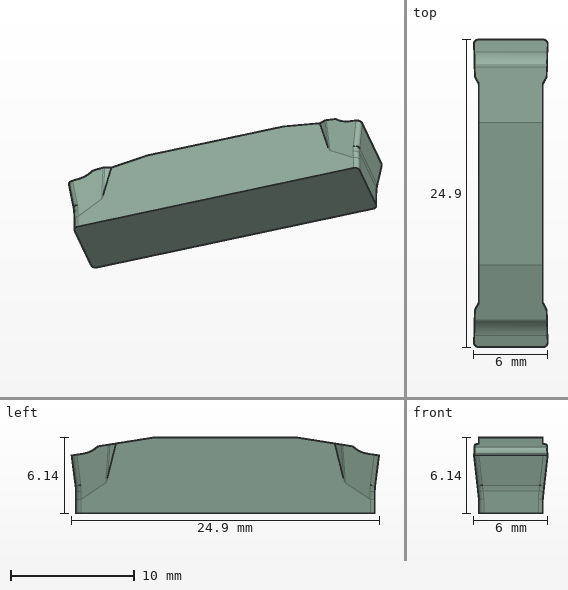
import cadquery as cq
import math

LENGTH = 24.89
HEIGHT = 6.14
BODY_WIDTH = 5.2
HEAD_WIDTH = 6.0
CORNER_RADIUS = 0.4
HALF_LENGTH = LENGTH / 2
HALF_BODY = BODY_WIDTH / 2
HALF_HEAD = HEAD_WIDTH / 2

FLANK_ANGLE = math.radians(7.4)
EDGE_HEIGHT = 4.68
FLANK_BOTTOM = 2.26
VERTICAL_TOP = 1.82
FLANK_TAN = math.tan(FLANK_ANGLE)
FLANK_SETBACK = (EDGE_HEIGHT - FLANK_BOTTOM) * FLANK_TAN
BLEND_SETBACK = (FLANK_BOTTOM - VERTICAL_TOP) * math.tan(FLANK_ANGLE / 2)
END_SETBACK = FLANK_SETBACK + BLEND_SETBACK

RAKE_DEPTH = 0.98
RAKE_TAN = math.tan(math.radians(9.0))
BREAKER_DEPTH = 2.04
BREAKER_HEIGHT = 5.34
RAMP_START = 2.20
RAMP_END = 6.68
RAMP_TAN = math.tan(math.radians(9.0))
RAMP_START_HEIGHT = HEIGHT - (RAMP_END - RAMP_START) * RAMP_TAN

SIDE_DROP_TAN = math.tan(math.radians(5.95))
SIDE_BACK_TAN = math.tan(math.radians(4.0))
WIDEST_DEPTH = CORNER_RADIUS
WIDEST_HEIGHT = EDGE_HEIGHT + WIDEST_DEPTH * RAKE_TAN

REAR_TAN = math.tan(math.radians(29.0))
REAR_LEAN_TAN = math.tan(math.radians(14.0))
REAR_DEPTH = 3.60
REAR_HEIGHT = RAMP_START_HEIGHT + (REAR_DEPTH - RAMP_START) * RAMP_TAN
REAR_EDGE_RADIUS = 0.3
SELECTION_MARGIN = 0.05
HEAD_TIP_HALF_WIDTH = 1.0


def end_point(depth, height):
    """Point in the YZ plane, depth measured inward from the -Y cutting edge."""
    return (depth - HALF_LENGTH, height)


def profile_prism():
    """Side profile of the -Y half, extruded wider than the head."""
    half_profile = (
        cq.Workplane("YZ")
        .moveTo(*end_point(RAMP_START, RAMP_START_HEIGHT))
        .lineTo(*end_point(RAMP_END, HEIGHT))
        .lineTo(0, HEIGHT)
        .lineTo(0, 0)
        .lineTo(*end_point(END_SETBACK, 0))
        .lineTo(*end_point(END_SETBACK, VERTICAL_TOP))
        .tangentArcPoint(end_point(FLANK_SETBACK, FLANK_BOTTOM), relative=False)
        .lineTo(*end_point(0, EDGE_HEIGHT))
        .lineTo(*end_point(RAKE_DEPTH, EDGE_HEIGHT + RAKE_DEPTH * RAKE_TAN))
        .tangentArcPoint(end_point(BREAKER_DEPTH, BREAKER_HEIGHT), relative=False)
        .tangentArcPoint(end_point(RAMP_START, RAMP_START_HEIGHT), relative=False)
        .close()
    )
    return half_profile.extrude(HEAD_WIDTH, both=True)


def side_half_width(depth, height):
    """Distance of a head side face from the YZ plane."""
    drop = (WIDEST_HEIGHT - height) * SIDE_DROP_TAN
    return HALF_HEAD - drop - (depth - WIDEST_DEPTH) * SIDE_BACK_TAN


def head_section(height):
    """Plan outline of the head block at one height."""
    body_depth = REAR_DEPTH + (height - REAR_HEIGHT) * REAR_LEAN_TAN
    front_half = side_half_width(0, height)
    rear_half_at_edge = HALF_BODY + body_depth * REAR_TAN
    rear_edge_depth = (rear_half_at_edge - front_half) / (REAR_TAN - SIDE_BACK_TAN)
    rear_edge_half = side_half_width(rear_edge_depth, height)
    tip_depth = body_depth + (HALF_BODY - HEAD_TIP_HALF_WIDTH) / REAR_TAN
    right_side = [
        (front_half, -HALF_LENGTH),
        (rear_edge_half, rear_edge_depth - HALF_LENGTH),
        (HEAD_TIP_HALF_WIDTH, tip_depth - HALF_LENGTH),
    ]
    left_side = [(-x, y) for x, y in reversed(right_side)]
    section_plane = cq.Workplane("XY").workplane(offset=height)
    return section_plane.polyline(right_side + left_side).close().val()


def head_block():
    """Tapered block bounded by the head side and rear faces."""
    block = cq.Workplane(cq.Solid.makeLoft([head_section(0), head_section(HEIGHT)], True))
    rear_edges = cq.selectors.BoxSelector(
        (-HEAD_WIDTH, RAMP_START - HALF_LENGTH, HEIGHT / 4),
        (HEAD_WIDTH, REAR_DEPTH - HALF_LENGTH, 3 * HEIGHT / 4),
    )
    return block.edges(rear_edges).fillet(REAR_EDGE_RADIUS)


def round_end_corners(solid):
    """Round the corners between the end face and the side faces."""
    corner_edges = cq.selectors.BoxSelector(
        (-HEAD_WIDTH, -LENGTH, 0),
        (HEAD_WIDTH, END_SETBACK + SELECTION_MARGIN - HALF_LENGTH, EDGE_HEIGHT),
    )
    return solid.edges(corner_edges).edges("not |X").fillet(CORNER_RADIUS)


def half_insert():
    """The -Y half: a straight body joined to the wider tapered head."""
    prism = profile_prism()
    body = prism.intersect(cq.Workplane("XY").box(BODY_WIDTH, LENGTH, 2 * HEIGHT))
    head = prism.intersect(head_block())
    return round_end_corners(body).union(round_end_corners(head))


near_half = half_insert()
result = near_half.union(near_half.mirror("XZ")).clean()